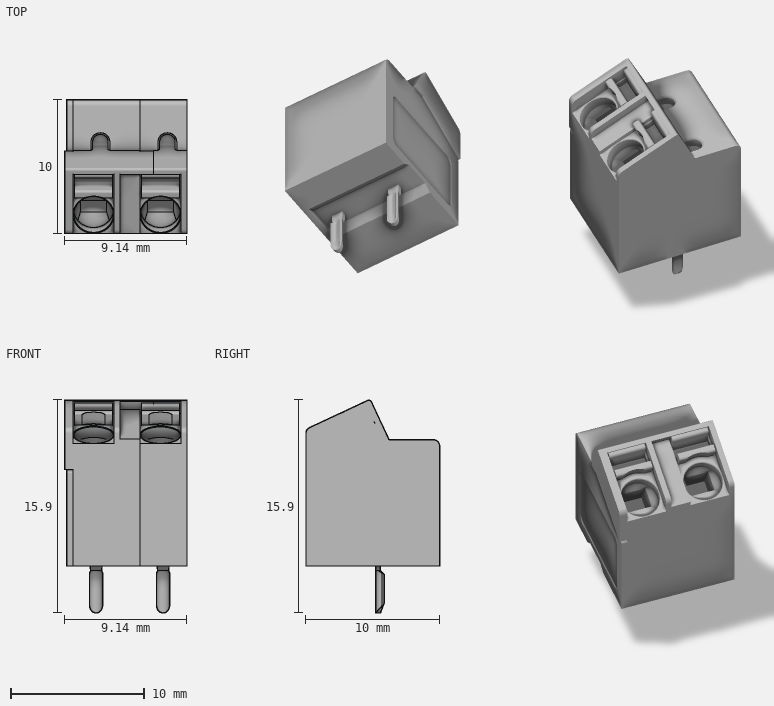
import cadquery as cq
import math


PITCH = 5.0
BLOCK_WIDTH = 9.14
BLOCK_DEPTH = 10.0
TOP_Z = 9.45
BACK_RADIUS = 0.5
PLATE_LEFT = 0.15
PLATE_RIGHT = 0.62
JOINT_X = PLATE_RIGHT + PITCH
TONGUE_LENGTH = 1.0
TONGUE_END = JOINT_X + TONGUE_LENGTH
CHAMFER_ANGLE = 45
POSITION_SHIFTS = [0.0, PITCH]

TILT = math.radians(25)
PEAK_Z = 12.466
PEAK_Y = 4.807
PEAK_RADIUS = 0.2
FRONT_RADIUS = 0.5
HEAD_GAP = 0.1
HEAD_FRONT_Z = PEAK_Z - PEAK_Y * math.tan(TILT)
HEAD_UNDERSIDE_Z = TOP_Z + HEAD_GAP
UNDERSIDE_FRONT_Z = 7.2

PLATE_FRONT_Z = 7.03
PLATE_FRONT_RADIUS = 0.2
PANEL_LENGTH = 8.0
PANEL_HEIGHT = 5.3
PANEL_CENTRE_Z = 3.6
PANEL_RADIUS = 0.5
PANEL_DEPTH = 0.1

POCKET_LEFT = PLATE_RIGHT
POCKET_WIDTH = 3.08
POCKET_CENTRE_X = POCKET_LEFT + POCKET_WIDTH / 2
POCKET_DEPTH = 0.97
POCKET_BACK = 4.855
CHANNEL_LEFT = 4.13
CHANNEL_DEPTH = 0.66
OPEN_FRONT = -3.0
CLEARANCE = 2.0

ENTRY_ALONG = 1.1
ENTRY_RADIUS = 1.48
ENTRY_CHAMFER = 0.05
ENTRY_BOTTOM = 1.88
FUNNEL_BOTTOM = 2.4
CLAMP_FRONT = 0.67
CLAMP_WIDTH = 1.95
CLAMP_LENGTH = 1.5
CLAMP_BOTTOM = 4.4
CLAMP_OFFSET = CLAMP_FRONT + CLAMP_LENGTH / 2 - ENTRY_ALONG

LEVER_WIDTH = 2.86
LEVER_FRONT = 2.85
LEVER_BOTTOM = 2.0
FRONT_BAR_TOP = 0.02
REAR_BAR_TOP = 0.12
FRONT_BAR_BACK = 3.46
REAR_BAR_FRONT = 4.5
REAR_BAR_FOOT = 4.2
GROOVE_DEPTH = 1.45
FRONT_BAR_NOSE_RADIUS = 0.17
FRONT_BAR_BACK_RADIUS = 0.2
GROOVE_RADIUS = 0.16
REAR_BAR_RADIUS = 0.2
SCOOP_RADIUS = 1.95

SLOT_CENTRE_X = 2.67
SLOT_ARCH_Y = 6.82
SLOT_RADIUS = 0.705
SLOT_CHAMFER = 0.12
SLOT_FLOOR_Z = 8.68
SLOT_FLOOR_RADIUS = 0.3

NOTCH_FRONT = 3.95
NOTCH_BACK = 7.45
NOTCH_FRONT_SLOPE = 0.65
NOTCH_BACK_SLOPE = 0.68
NOTCH_HEIGHT = 0.46
NOTCH_END_X = POCKET_LEFT + PITCH + POCKET_WIDTH

PIN_X = 2.35
PIN_FRONT_Y = 5.21
PIN_THICKNESS = 0.36
PIN_WIDTH = 1.02
PIN_SHOULDER_Y = 5.46
PIN_SHOULDER_HALF_WIDTH = 0.43
PIN_FLANK_Y = 5.69
PIN_BACK_Y = 5.86
PIN_LIP_HALF_WIDTH = 0.4
PIN_LENGTH = 3.5
PIN_TIP_Z = -2.85
NECK_TOP_Z = 1.5
NECK_Z = -0.33
NECK_TOP_WIDTH = 0.92
NECK_WIDTH = 0.84
PIN_FULL_Z = -0.55
WING_TOP_Z = -0.63
WING_BOTTOM_Z = -2.74


def rear_face_y(z):
    """Y of the leaning rear face of the head, also extended below the top of the block."""
    return PEAK_Y + (PEAK_Z - z) * math.tan(TILT)


def slope_run(rise):
    """Y distance over which the slope climbs by the given height."""
    return rise / math.tan(TILT)


def prism(points, left, right):
    """Extrude a (Y, Z) outline along X."""
    return cq.Workplane("YZ", origin=(left, 0, 0)).polyline(points).close().extrude(right - left)


def round_edge(body, y, z, radius):
    """Round the edge parallel to X nearest to (y, z)."""
    middle_x = body.val().BoundingBox().center.x
    return body.edges("|X").edges(cq.NearestToPointSelector((middle_x, y, z))).fillet(radius)


def side_plane(x):
    """Plane facing +X, with local x up the slope and local y out of the slope."""
    up_slope = (0, math.cos(TILT), math.sin(TILT))
    return cq.Plane(origin=(x, 0, HEAD_FRONT_Z), xDir=up_slope, normal=(1, 0, 0))


def slope_box(left, right, start, end, top, bottom):
    """Box aligned to the slope: start and end along it, top and bottom as depths below it."""
    profile = cq.Workplane(side_plane(left)).moveTo(start, -top).lineTo(end, -top)
    return profile.lineTo(end, -bottom).lineTo(start, -bottom).close().extrude(right - left)


def entry_plane(x, depth):
    """Plane square to the wire entry, centred on its axis at a depth below the slope."""
    centre = side_plane(x).toWorldCoords((ENTRY_ALONG, -depth, 0))
    return cq.Plane(origin=centre, xDir=(1, 0, 0), normal=(0, -math.sin(TILT), math.cos(TILT)))


def round_head(body):
    body = round_edge(body, PEAK_Y, PEAK_Z, PEAK_RADIUS)
    return round_edge(body, 0, HEAD_FRONT_Z, FRONT_RADIUS)


def module_block(left, right):
    outline = [
        (0, 0),
        (BLOCK_DEPTH, 0),
        (BLOCK_DEPTH, TOP_Z),
        (rear_face_y(TOP_Z), TOP_Z),
        (PEAK_Y, PEAK_Z),
        (0, HEAD_FRONT_Z),
    ]
    block = round_edge(prism(outline, left, right), BLOCK_DEPTH, TOP_Z, BACK_RADIUS)
    return round_head(block)


def head_block(left, right):
    outline = [
        (0, UNDERSIDE_FRONT_Z),
        (slope_run(HEAD_UNDERSIDE_Z - UNDERSIDE_FRONT_Z), HEAD_UNDERSIDE_Z),
        (rear_face_y(HEAD_UNDERSIDE_Z), HEAD_UNDERSIDE_Z),
        (PEAK_Y, PEAK_Z),
        (0, HEAD_FRONT_Z),
    ]
    return round_head(prism(outline, left, right))


def pocket(shift):
    left = POCKET_LEFT + shift
    return slope_box(left, left + POCKET_WIDTH, OPEN_FRONT, POCKET_BACK, -CLEARANCE, POCKET_DEPTH)


def channel():
    return slope_box(CHANNEL_LEFT, JOINT_X, OPEN_FRONT, POCKET_BACK, -CLEARANCE, CHANNEL_DEPTH)


def lever_recess(shift):
    left = POCKET_CENTRE_X + shift - LEVER_WIDTH / 2
    return slope_box(left, left + LEVER_WIDTH, LEVER_FRONT, POCKET_BACK, POCKET_DEPTH, LEVER_BOTTOM)


def wire_entry(shift):
    x = POCKET_CENTRE_X + shift
    bore_depth = ENTRY_BOTTOM - POCKET_DEPTH
    bore = cq.Workplane(entry_plane(x, ENTRY_BOTTOM)).circle(ENTRY_RADIUS).extrude(bore_depth)
    mouth = cq.Workplane(entry_plane(x, POCKET_DEPTH)).circle(ENTRY_RADIUS + ENTRY_CHAMFER)
    mouth = mouth.extrude(-ENTRY_CHAMFER, taper=CHAMFER_ANGLE)
    funnel = cq.Workplane(entry_plane(x, ENTRY_BOTTOM)).circle(ENTRY_RADIUS)
    funnel = funnel.workplane(offset=ENTRY_BOTTOM - FUNNEL_BOTTOM).center(0, CLAMP_OFFSET)
    funnel = funnel.rect(CLAMP_WIDTH, CLAMP_LENGTH).loft()
    clamp = cq.Workplane(entry_plane(x, CLAMP_BOTTOM)).center(0, CLAMP_OFFSET)
    clamp = clamp.rect(CLAMP_WIDTH, CLAMP_LENGTH).extrude(CLAMP_BOTTOM - FUNNEL_BOTTOM)
    return bore.union(mouth).union(funnel).union(clamp)


def slot_arch(x, radius):
    """Round-ended plan outline of the test slot at the top of the block."""
    outline = cq.Workplane("XY", origin=(x, 0, TOP_Z)).moveTo(-radius, PEAK_Y)
    outline = outline.lineTo(radius, PEAK_Y).lineTo(radius, SLOT_ARCH_Y)
    return outline.threePointArc((0, SLOT_ARCH_Y + radius), (-radius, SLOT_ARCH_Y)).close()


def test_slot(shift):
    x = SLOT_CENTRE_X + shift
    side_outline = [
        (rear_face_y(TOP_Z), TOP_Z),
        (rear_face_y(SLOT_FLOOR_Z), SLOT_FLOOR_Z),
        (BLOCK_DEPTH, SLOT_FLOOR_Z),
        (BLOCK_DEPTH, TOP_Z),
    ]
    side = prism(side_outline, x - SLOT_RADIUS, x + SLOT_RADIUS)
    side = round_edge(side, rear_face_y(SLOT_FLOOR_Z), SLOT_FLOOR_Z, SLOT_FLOOR_RADIUS)
    well = slot_arch(x, SLOT_RADIUS - SLOT_CHAMFER).extrude(SLOT_FLOOR_Z - TOP_Z)
    rim = slot_arch(x, SLOT_RADIUS).extrude(-SLOT_CHAMFER, taper=CHAMFER_ANGLE)
    return well.union(rim).intersect(side)


def underside_notch():
    outline = [
        (NOTCH_FRONT, 0),
        (NOTCH_FRONT + NOTCH_FRONT_SLOPE, NOTCH_HEIGHT),
        (NOTCH_BACK - NOTCH_BACK_SLOPE, NOTCH_HEIGHT),
        (NOTCH_BACK, 0),
    ]
    return prism(outline, 0, NOTCH_END_X)


def pin_neck():
    outline = [
        (-NECK_TOP_WIDTH / 2, NECK_TOP_Z),
        (-NECK_TOP_WIDTH / 2, 0),
        (-NECK_WIDTH / 2, NECK_Z),
        (NECK_WIDTH / 2, NECK_Z),
        (NECK_TOP_WIDTH / 2, 0),
        (NECK_TOP_WIDTH / 2, NECK_TOP_Z),
    ]
    return cq.Workplane("XZ", origin=(0, PIN_FRONT_Y, 0)).polyline(outline).close().extrude(-PIN_THICKNESS)


def pin_shank():
    """Trough-shaped sheet, rounded at the tip, with its two wings sloped off at both ends."""
    half = PIN_WIDTH / 2
    inner_y = PIN_FRONT_Y + PIN_THICKNESS
    shoulder = PIN_SHOULDER_HALF_WIDTH
    section = cq.Workplane("XY").moveTo(-shoulder, PIN_SHOULDER_Y)
    section = section.threePointArc((0, PIN_FRONT_Y), (shoulder, PIN_SHOULDER_Y))
    section = section.lineTo(half, PIN_FLANK_Y).lineTo(PIN_LIP_HALF_WIDTH, PIN_BACK_Y)
    section = section.threePointArc((0, inner_y), (-PIN_LIP_HALF_WIDTH, PIN_BACK_Y))
    trough = section.lineTo(-half, PIN_FLANK_Y).close().extrude(-PIN_LENGTH)

    front_outline = [
        (-NECK_WIDTH / 2, NECK_Z),
        (-half, PIN_FULL_Z),
        (-half, PIN_TIP_Z),
        (half, PIN_TIP_Z),
        (half, PIN_FULL_Z),
        (NECK_WIDTH / 2, NECK_Z),
    ]
    front = cq.Workplane("XZ").polyline(front_outline).close().extrude(-BLOCK_DEPTH)
    tip = cq.Workplane("XZ").center(0, PIN_TIP_Z).ellipse(half, PIN_LENGTH + PIN_TIP_Z)
    front = front.union(tip.extrude(-BLOCK_DEPTH))

    side_outline = [
        (0, NECK_Z),
        (inner_y, NECK_Z),
        (PIN_BACK_Y, WING_TOP_Z),
        (PIN_BACK_Y, WING_BOTTOM_Z),
        (inner_y, -PIN_LENGTH),
        (0, -PIN_LENGTH),
    ]
    side = prism(side_outline, -PIN_WIDTH, PIN_WIDTH)
    return front.intersect(side).intersect(trough)


def make_pin(shift):
    return pin_neck().union(pin_shank()).translate((PIN_X + shift, 0, 0))


def make_lever(shift):
    """Two bars with a groove between them; the front bar is scooped out round the wire entry."""
    x = POCKET_CENTRE_X + shift
    left = x - LEVER_WIDTH / 2
    outline = [
        (LEVER_FRONT, -LEVER_BOTTOM),
        (POCKET_BACK, -LEVER_BOTTOM),
        (POCKET_BACK, -REAR_BAR_TOP),
        (REAR_BAR_FRONT, -REAR_BAR_TOP),
        (REAR_BAR_FOOT, -GROOVE_DEPTH),
        (FRONT_BAR_BACK, -GROOVE_DEPTH),
        (FRONT_BAR_BACK, -FRONT_BAR_TOP),
        (LEVER_FRONT, -FRONT_BAR_TOP),
    ]
    plane = side_plane(left)
    lever = cq.Workplane(plane).polyline(outline).close().extrude(LEVER_WIDTH)
    roundings = [
        (LEVER_FRONT, FRONT_BAR_TOP, FRONT_BAR_NOSE_RADIUS),
        (FRONT_BAR_BACK, FRONT_BAR_TOP, FRONT_BAR_BACK_RADIUS),
        (FRONT_BAR_BACK, GROOVE_DEPTH, GROOVE_RADIUS),
        (REAR_BAR_FRONT, REAR_BAR_TOP, REAR_BAR_RADIUS),
    ]
    for along, depth, radius in roundings:
        corner = plane.toWorldCoords((along, -depth, 0))
        lever = round_edge(lever, corner.y, corner.z, radius)
    scoop = cq.Workplane(entry_plane(x, POCKET_DEPTH)).circle(SCOOP_RADIUS).extrude(POCKET_DEPTH)
    return lever.cut(scoop)


def make_end_plate():
    outline = [
        (0, 0),
        (BLOCK_DEPTH, 0),
        (BLOCK_DEPTH, TOP_Z),
        (slope_run(TOP_Z - PLATE_FRONT_Z), TOP_Z),
        (0, PLATE_FRONT_Z),
    ]
    plate = prism(outline, PLATE_LEFT, PLATE_RIGHT)
    plate = round_edge(plate, BLOCK_DEPTH, TOP_Z, BACK_RADIUS)
    plate = round_edge(plate, 0, PLATE_FRONT_Z, PLATE_FRONT_RADIUS)
    panel = cq.Workplane("YZ", origin=(PLATE_LEFT, BLOCK_DEPTH / 2, PANEL_CENTRE_Z))
    panel = panel.rect(PANEL_LENGTH, PANEL_HEIGHT).extrude(PANEL_DEPTH).edges("|X").fillet(PANEL_RADIUS)
    return plate.cut(panel).cut(underside_notch())


def cut_position(housing, shift):
    """Cut everything that one clamping position needs."""
    cutters = [pocket(shift), lever_recess(shift), wire_entry(shift), test_slot(shift), make_pin(shift)]
    for cutter in cutters:
        housing = housing.cut(cutter)
    return housing.cut(underside_notch())


def tongue_space(bottom_z):
    """Space behind the pockets, above a given height, where the first head laps over the second module."""
    space = slope_box(JOINT_X, TONGUE_END, POCKET_BACK, BLOCK_DEPTH, -CLEARANCE, BLOCK_DEPTH)
    above = cq.Workplane("XY", origin=(0, 0, bottom_z)).rect(2 * BLOCK_WIDTH, 2 * BLOCK_DEPTH).extrude(PEAK_Z)
    return space.intersect(above)


def make_first_housing():
    housing = cut_position(module_block(PLATE_RIGHT, JOINT_X), POSITION_SHIFTS[0])
    overhang = head_block(0, PLATE_RIGHT)
    tongue = head_block(JOINT_X, TONGUE_END).intersect(tongue_space(HEAD_UNDERSIDE_Z))
    return housing.cut(channel()).union(overhang).union(tongue)


def make_second_housing():
    housing = cut_position(module_block(JOINT_X, BLOCK_WIDTH), POSITION_SHIFTS[1])
    return housing.cut(tongue_space(TOP_Z))


end_plate = make_end_plate()
first_housing = make_first_housing()
second_housing = make_second_housing()
levers = [make_lever(shift) for shift in POSITION_SHIFTS]
pins = [make_pin(shift) for shift in POSITION_SHIFTS]

bodies = [end_plate, first_housing, second_housing, *levers, *pins]
result = cq.Compound.makeCompound([body.solids().val() for body in bodies])